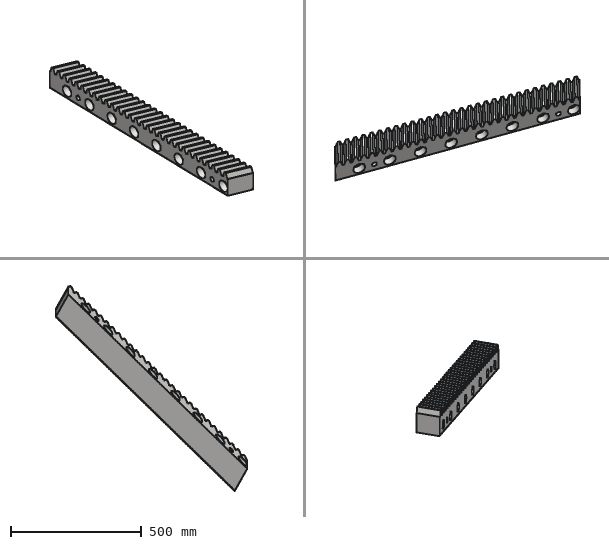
import cadquery as cq
import math

overall_length = 1034.0
face_width = 100.0
height = 99.0
helix_angle = math.radians(19.5)
end_shift = face_width * math.tan(helix_angle)
face_length = overall_length - end_shift
back_chamfer = 3.0

tooth_count = 30
end_trim = 1.5
pressure_angle = math.radians(20)
pitch = (face_length + end_trim) / tooth_count
module = pitch * math.cos(helix_angle) / math.pi
addendum = module
dedendum = 1.25 * module
flank_slope = math.tan(pressure_angle) / math.cos(helix_angle)
half_tip = pitch / 4 - addendum * flank_slope
half_base = pitch / 4 + dedendum * flank_slope
root_height = height - addendum - dedendum
first_tooth_x = (pitch - end_trim) / 2

hole_height = 32.0
bolt_count = 8
bolt_spacing = 125.0
bolt_diameter = 33.0
counterbore_diameter = 48.0
counterbore_depth = 32.0
first_bolt_x = end_shift + (bolt_spacing - end_trim) / 2
last_bolt_x = first_bolt_x + (bolt_count - 1) * bolt_spacing
pin_diameter = 20.0
pin_offset = bolt_spacing / 2


def tooth_points(center_x):
    """Corners of one straight-sided tooth, left to right."""
    return [
        (center_x - half_base, root_height),
        (center_x - half_tip, height),
        (center_x + half_tip, height),
        (center_x + half_base, root_height),
    ]


def toothed_bar():
    """Rack profile on the front face, swept back along the slanted tooth direction."""
    outline = [(0, 0), (0, root_height)]
    for tooth in range(tooth_count):
        outline += tooth_points(first_tooth_x + tooth * pitch)
    outline += [(face_length, root_height), (face_length, 0)]
    profile = cq.Wire.makePolygon([cq.Vector(x, 0, z) for x, z in outline], close=True)
    sweep = cq.Vector(end_shift, face_width, 0)
    return cq.Workplane(obj=cq.Solid.extrudeLinear(profile, [], sweep))


def cylinders(x_positions, diameter, depth):
    """Round cutters entering the front face at hole height."""
    centers = [(x, hole_height) for x in x_positions]
    return cq.Workplane("XZ").pushPoints(centers).circle(diameter / 2).extrude(-depth)


bolt_positions = [first_bolt_x + i * bolt_spacing for i in range(bolt_count)]
pin_positions = [first_bolt_x + pin_offset, last_bolt_x - pin_offset]

result = (
    toothed_bar()
    .edges("<Z and >Y")
    .chamfer(back_chamfer)
    .cut(cylinders(bolt_positions, bolt_diameter, face_width))
    .cut(cylinders(bolt_positions, counterbore_diameter, counterbore_depth))
    .cut(cylinders(pin_positions, pin_diameter, face_width))
)